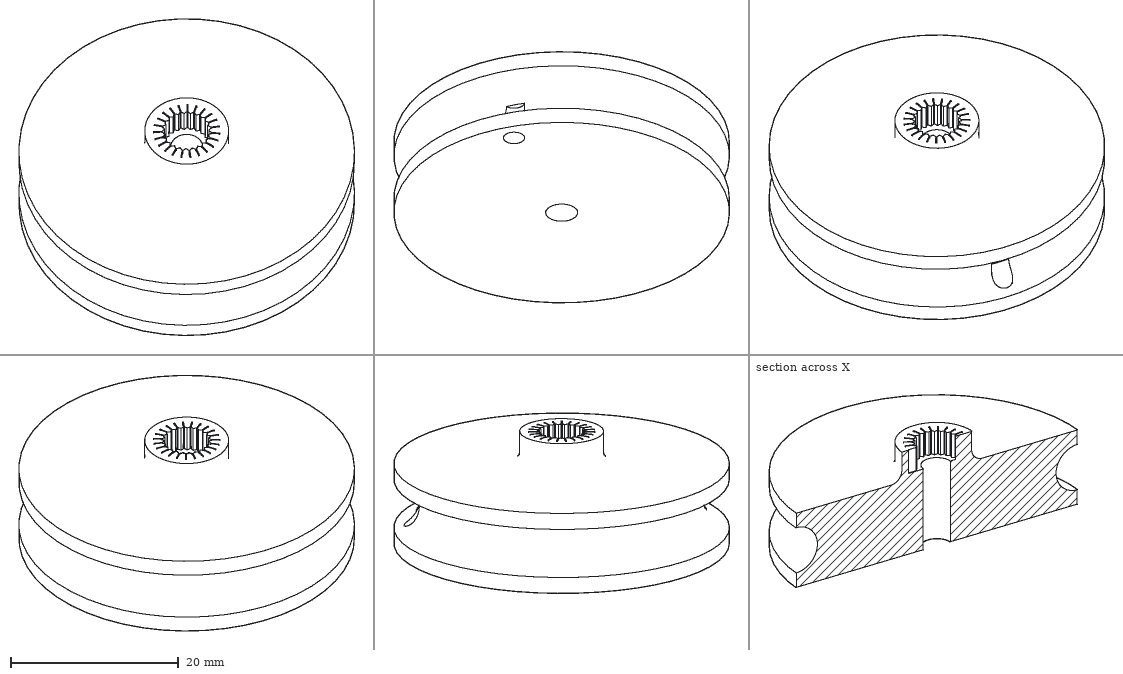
import cadquery as cq
import math

outer_radius = 20
flange_thickness = 2
groove_radius = 3.0
body_height = 2 * flange_thickness + 2 * groove_radius

hub_radius = 5.0
hub_height = 4
fillet_foot_diameter = 13.0
fillet_radius = fillet_foot_diameter / 2 - hub_radius
hub_top = body_height + hub_height

bore_diameter = 3.8
socket_depth = 3.1
tooth_count = 23
tooth_tip_radius = 2.65
tooth_root_radius = 3.0
slit_end_radius = 3.95
slit_width = 0.1

cord_hole_x = -3.7
cord_hole_y = 17.1
cord_hole_diameter = 2.5


def polar_point(radius, angle):
    return radius * math.cos(angle), radius * math.sin(angle)


def make_pulley():
    """Revolve the half section of the grooved body, hub and fillet."""
    mid_height = body_height / 2
    fillet_inset = fillet_radius * (1 - math.sqrt(0.5))
    profile = (
        cq.Workplane("XZ")
        .lineTo(outer_radius, 0)
        .lineTo(outer_radius, flange_thickness)
        .threePointArc(
            (outer_radius - groove_radius, mid_height),
            (outer_radius, body_height - flange_thickness),
        )
        .lineTo(outer_radius, body_height)
        .lineTo(fillet_foot_diameter / 2, body_height)
        .threePointArc(
            (hub_radius + fillet_inset, body_height + fillet_inset),
            (hub_radius, body_height + fillet_radius),
        )
        .lineTo(hub_radius, hub_top)
        .lineTo(0, hub_top)
        .close()
    )
    return profile.revolve(360, (0, 0, 0), (0, 1, 0))


def make_spline_socket():
    """Star-shaped socket with a narrow radial slit at each tooth root."""
    pitch = 2 * math.pi / tooth_count
    outline = []
    slit_angles = []
    for tooth in range(tooth_count):
        root_angle = math.pi / 2 + tooth * pitch
        outline.append(polar_point(tooth_root_radius, root_angle))
        outline.append(polar_point(tooth_tip_radius, root_angle + pitch / 2))
        slit_angles.append(math.degrees(root_angle))

    floor = cq.Workplane("XY").workplane(offset=hub_top - socket_depth)
    socket = floor.polyline(outline).close().extrude(socket_depth)

    slit_start_radius = bore_diameter / 2
    slit_length = slit_end_radius - slit_start_radius
    slit = floor.center(slit_start_radius + slit_length / 2, 0).rect(slit_length, slit_width)
    slit = slit.extrude(socket_depth)
    for angle in slit_angles:
        socket = socket.union(slit.rotate((0, 0, 0), (0, 0, 1), angle))
    return socket


bore = cq.Workplane("XY").circle(bore_diameter / 2).extrude(hub_top)

cord_hole = (
    cq.Workplane("XY")
    .center(cord_hole_x, cord_hole_y)
    .circle(cord_hole_diameter / 2)
    .extrude(body_height / 2)
)

result = make_pulley().cut(make_spline_socket()).cut(bore).cut(cord_hole)